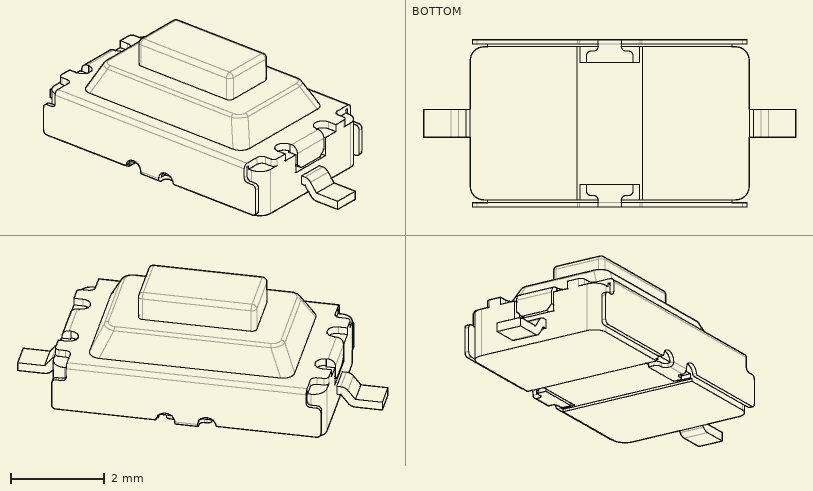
import cadquery as cq
import math


length = 8
width = 3.6
height = 2.5

base_length = 6
base_width = 3.3
base_height = 1.08
base_corner_radius = 0.3

cover_top = 1.25
sheet = 0.1
bend_radius = 0.1
sheet_length = 5.26
wall_length = 5.9
wall_bottom = sheet
wall_shoulder = 0.84
wall_corner_radius = 0.1

plate_end_width = 2.46
plate_outer_fillet = 0.1
plate_inner_fillet = 0.13
slot_radius = 0.2
slot_offset = 0.66
slot_depth = 0.2

flap_width = 0.9
flap_bottom = 0.69
flap_bend_radius = 0.16
flap_chamfer = 0.13
pocket_width = 1.0
pocket_depth = 0.2
pocket_bottom = 0.64

tab_neck_width = 0.5
tab_head_width = 1.0
tab_head_length = 0.24
tab_fillet = 0.1
tab_inner_bend = 0.05
relief_radius = 0.2
relief_mouth_fillet = 0.05
channel_width = 1.41
channel_height = 0.06
tab_pocket_width = 1.29
tab_pocket_height = 0.15

dome_top = 1.87
dome_length = 4.5
dome_width = 2.8
dome_inset = 0.3
dome_corner_radius = 0.26
dome_top_fillet = 0.1

button_length = 2.59
button_width = 1.3
button_fillet = 0.1

lead_thickness = 0.2
lead_width = 0.6
lead_rise = 0.28
lead_bend_x = 3.09
lead_slope = math.radians(51)


def box(size_x, size_y, bottom, top, x=0, y=0):
    """Upright box centred at (x, y) between two heights."""
    block = cq.Workplane("XY").box(size_x, size_y, top - bottom, centered=(True, True, False))
    return block.translate((x, y, bottom))


def both_ends(shape):
    return shape.union(shape.mirror("YZ"))


def both_sides(shape):
    return shape.union(shape.mirror("XZ"))


def make_base():
    base = box(base_length, base_width, 0, base_height).edges("|Z").fillet(base_corner_radius)
    pocket = box(pocket_depth, pocket_width, pocket_bottom, base_height, x=(base_length - pocket_depth) / 2)
    channel = box(channel_width, width, 0, channel_height)
    tab_reach = tab_fillet + tab_head_length
    tab_pocket = box(tab_pocket_width, tab_reach, 0, tab_pocket_height, y=-(base_width - tab_reach) / 2)
    return base.cut(both_ends(pocket)).cut(channel).cut(both_sides(tab_pocket))


def make_top_plate():
    """Thick plate over the base, with cut corners and two round-ended slots at each end."""
    plate = box(sheet_length, base_width, base_height, cover_top)
    plate = plate.union(box(base_length, plate_end_width, base_height, cover_top))
    plate = plate.edges("|Z").edges("<X or >X").fillet(plate_outer_fillet)
    for side_x in (-1, 1):
        for side_y in (-1, 1):
            inner_corner = (side_x * sheet_length / 2, side_y * plate_end_width / 2, base_height)
            inner_edge = plate.edges("|Z").edges(cq.selectors.NearestToPointSelector(inner_corner))
            plate = inner_edge.fillet(plate_inner_fillet)

    slot_x = base_length / 2 - slot_depth
    end_cut = box(pocket_depth, pocket_width, base_height, cover_top, x=(base_length - pocket_depth) / 2)
    for slot_y in (-slot_offset, slot_offset):
        slot = box(slot_depth, 2 * slot_radius, base_height, cover_top, x=slot_x + slot_depth / 2, y=slot_y)
        slot_end = cq.Workplane("XY", origin=(slot_x, slot_y, base_height)).circle(slot_radius)
        end_cut = end_cut.union(slot).union(slot_end.extrude(cover_top - base_height))
    return plate.cut(both_ends(end_cut))


def make_end_flap():
    """Flap at the +X end, rounded over the top and chamfered at its lower corners."""
    flap = box(pocket_depth, flap_width, flap_bottom, cover_top, x=(base_length - pocket_depth) / 2)
    flap = flap.edges("|X and <Z").chamfer(flap_chamfer)
    return flap.edges("|Y and >X and >Z").fillet(flap_bend_radius)


def make_side_wall():
    """Upright sheet on the -Y side, stepped at its ends and notched beside the bottom tab."""
    profile = [
        (-wall_length / 2, wall_bottom),
        (wall_length / 2, wall_bottom),
        (wall_length / 2, wall_shoulder),
        (sheet_length / 2, wall_shoulder),
        (sheet_length / 2, cover_top),
        (-sheet_length / 2, cover_top),
        (-sheet_length / 2, wall_shoulder),
        (-wall_length / 2, wall_shoulder),
    ]
    wall = cq.Workplane("XZ", origin=(0, -width / 2 + sheet, 0)).polyline(profile).close().extrude(sheet)
    wall = wall.edges("|Y").edges("not >Z").fillet(wall_corner_radius)

    relief_x = tab_neck_width / 2 + relief_radius
    reliefs = cq.Workplane("XZ", origin=(0, 0, wall_bottom)).pushPoints([(-relief_x, 0), (relief_x, 0)])
    wall = wall.cut(reliefs.circle(relief_radius).extrude(width))
    for side in (-1, 1):
        mouth = (side * (relief_x + relief_radius), -(width - sheet) / 2, wall_bottom)
        wall = wall.edges("|Y").edges(cq.selectors.NearestToPointSelector(mouth)).fillet(relief_mouth_fillet)
    return wall


def make_bottom_tab():
    """T-shaped tab on the -Y side, bent under the base from the lower edge of the side wall."""
    outer = -width / 2
    inner = outer + sheet
    head_front = -base_width / 2 + tab_fillet
    bend = (
        cq.Workplane("YZ", origin=(-tab_neck_width / 2, 0, 0))
        .moveTo(outer, sheet + tab_inner_bend)
        .lineTo(outer, bend_radius)
        .radiusArc((outer + bend_radius, 0), -bend_radius)
        .lineTo(head_front, 0)
        .lineTo(head_front, sheet)
        .lineTo(inner + tab_inner_bend, sheet)
        .radiusArc((inner, sheet + tab_inner_bend), tab_inner_bend)
        .close()
        .extrude(tab_neck_width)
    )
    head = box(tab_head_width, tab_head_length, 0, sheet, y=head_front + tab_head_length / 2)
    head = head.edges("|Z and <Y").fillet(tab_fillet)
    tab = bend.union(head)
    for side in (-1, 1):
        neck_corner = (side * tab_neck_width / 2, head_front, sheet / 2)
        tab = tab.edges("|Z").edges(cq.selectors.NearestToPointSelector(neck_corner)).fillet(tab_fillet)
    return tab


def make_cover():
    sides = both_sides(make_side_wall())
    sheet_top = box(sheet_length, width, cover_top - sheet, cover_top)
    shell = sides.union(sheet_top).edges("|X and >Z").fillet(bend_radius)
    plate_space = box(base_length, base_width, 0, cover_top)
    shell = shell.cut(plate_space).union(make_top_plate())
    return shell.union(both_ends(make_end_flap())).union(both_sides(make_bottom_tab()))


def make_dome():
    """Tapered dome whose corner radius stays the same from bottom to top."""
    def outline(inset):
        rectangle = cq.Sketch().rect(dome_length - 2 * inset, dome_width - 2 * inset)
        return rectangle.vertices().fillet(dome_corner_radius)

    upper = outline(dome_inset).moved(cq.Location(cq.Vector(0, 0, dome_top - cover_top)))
    dome = cq.Workplane("XY", origin=(0, 0, cover_top)).placeSketch(outline(0), upper).loft()
    return dome.faces(">Z").edges().fillet(dome_top_fillet)


def make_button():
    button = box(button_length, button_width, cover_top, height)
    return button.edges("|Z or >Z").fillet(button_fillet)


def make_lead():
    """Gull-wing lead at the +X end: each bend is sharp inside and round outside."""
    sin_slope = math.sin(lead_slope)
    cos_slope = math.cos(lead_slope)
    upper_top = lead_rise + lead_thickness
    offset_x = lead_thickness * sin_slope
    offset_z = lead_thickness * cos_slope
    slope_length = (lead_rise - lead_thickness + offset_z) / sin_slope
    foot_x = lead_bend_x + offset_x + slope_length * cos_slope
    start_x = base_length / 2 - pocket_depth
    return (
        cq.Workplane("XZ", origin=(0, lead_width / 2, 0))
        .moveTo(start_x, lead_rise)
        .lineTo(start_x, upper_top)
        .lineTo(lead_bend_x, upper_top)
        .radiusArc((lead_bend_x + offset_x, lead_rise + offset_z), lead_thickness)
        .lineTo(foot_x, lead_thickness)
        .lineTo(length / 2, lead_thickness)
        .lineTo(length / 2, 0)
        .lineTo(foot_x, 0)
        .radiusArc((foot_x - offset_x, lead_thickness - offset_z), lead_thickness)
        .lineTo(lead_bend_x, lead_rise)
        .close()
        .extrude(lead_width)
    )


result = make_base().union(make_cover()).union(make_dome()).union(make_button()).union(both_ends(make_lead()))